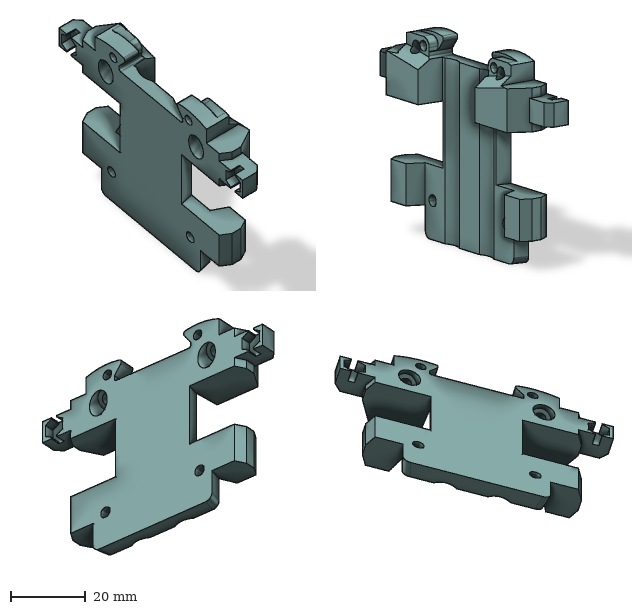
import cadquery as cq
import math

HALF_WIDTH = 38.0
DEPTH = 11.9
HEIGHT = 57.5
PLATE_DEPTH = 4.25

LOWER_ARM_BOTTOM = 9.0
LOWER_ARM_TOP = 20.6
UPPER_ARM_BOTTOM = 39.0
UPPER_ARM_TOP = 51.1

LEG_HALF = 20.5
NECK_HALF = 12.8
SIDE_LEAN = 1.0
LEG_CORNER_RADIUS = 2.05
LEG_HOLE_X = 16.3
LEG_HOLE_Z = 10.8
LEG_HOLE_DIAMETER = 3.2

GROOVE_X = 7.5
GROOVE_HALF_WIDTH = 3.2
GROOVE_SAG = 0.9

ARM_HALF = 30.0
FLANK_FRONT = 3.05
FLANK_BACK = 6.15
BEVEL_SLOPE = math.tan(math.radians(60))
LOWER_ARM_DEPTH = 9.05
LOWER_ARM_INNER_BACK = 21.8
UPPER_ARM_INNER_BACK = 12.55
UPPER_ARM_INNER_PLATE = 11.9

EAR_OUTER = 23.0
EAR_DEPTH = 7.9
EAR_HOLE_X = 15.6
EAR_HOLE_Z = 54.0
EAR_HOLE_DIAMETER = 2.9
EAR_TOP_RADIUS = 21.3
HOOK_TIP_X = 10.8
HOOK_TIP_RADIUS = 0.7
HOOK_ROOT_X = 13.15
HOOK_ROOT_Z = 52.75
HOOK_UNDERSIDE_Z = 55.85
HOOK_ROOT_RADIUS = 0.7
HOOK_DEPTH = 4.9
EAR_BACK_RADIUS = 2.6

SLANT_POINT = (EAR_OUTER, 11.2, UPPER_ARM_TOP)
SLANT_NORMAL = (-0.28, 1.0, 1.5)

SCREW_X = 18.7
SCREW_Z = 46.35
SCREW_RISE = 39.0
SCREW_DIAMETER = 3.4
HEAD_DIAMETER = 6.1
HEAD_DEPTH = 5.2

LUG_BOTTOM = 41.65
LUG_TOP = 48.3
LUG_DEPTH = 6.8
LUG_CHAMFER = 1.9
LUG_INNER = 27.35
POCKET_X = 34.0
POCKET_FLATS = 5.9
POCKET_DEPTH = 3.1
SLOT_WIDTH = 1.8

CUT_LENGTH = 45.6


def prism_up(points, bottom, top):
    """Extrude an outline in X-Y between two heights."""
    return cq.Workplane("XY").workplane(offset=bottom).polyline(points).close().extrude(top - bottom)


def hole_along_y(x, z, diameter):
    return cq.Workplane("XZ").center(x, z).circle(diameter / 2).extrude(-CUT_LENGTH)


def leaning_plate(half_width, bottom, top):
    outline = [(0, 0), (half_width, 0), (half_width - SIDE_LEAN, PLATE_DEPTH), (0, PLATE_DEPTH)]
    return prism_up(outline, bottom, top)


def arm(bottom, top, depth, inner_plate, inner_back):
    outline = [
        (0, 0),
        (ARM_HALF - FLANK_FRONT / BEVEL_SLOPE, 0),
        (ARM_HALF, FLANK_FRONT),
        (ARM_HALF, FLANK_BACK),
        (ARM_HALF - (depth - FLANK_BACK) / BEVEL_SLOPE, depth),
        (inner_back, depth),
        (inner_plate, PLATE_DEPTH),
        (0, PLATE_DEPTH),
    ]
    return prism_up(outline, bottom, top)


def groove():
    bottom_y = PLATE_DEPTH - GROOVE_SAG
    return (
        cq.Workplane("XY")
        .moveTo(GROOVE_X - GROOVE_HALF_WIDTH, PLATE_DEPTH)
        .threePointArc((GROOVE_X, bottom_y), (GROOVE_X + GROOVE_HALF_WIDTH, PLATE_DEPTH))
        .close()
        .extrude(HEIGHT)
    )


def ear_top_z(x):
    """Height of the ear's arched top, whose crown is above the ear hole."""
    return HEIGHT - EAR_TOP_RADIUS + math.sqrt(EAR_TOP_RADIUS**2 - (x - EAR_HOLE_X) ** 2)


def ear_block(depth):
    """The ear's full outline, with its hook, extruded back from the front face."""
    block = (
        cq.Workplane("XZ")
        .moveTo(EAR_OUTER, UPPER_ARM_TOP)
        .lineTo(EAR_OUTER, ear_top_z(EAR_OUTER))
        .threePointArc((EAR_HOLE_X, HEIGHT), (HOOK_TIP_X, ear_top_z(HOOK_TIP_X)))
        .lineTo(HOOK_TIP_X, HOOK_UNDERSIDE_Z)
        .lineTo(HOOK_ROOT_X, HOOK_ROOT_Z)
        .lineTo(HOOK_ROOT_X, UPPER_ARM_TOP + HOOK_ROOT_RADIUS)
        .radiusArc((HOOK_ROOT_X - HOOK_ROOT_RADIUS, UPPER_ARM_TOP), HOOK_ROOT_RADIUS)
        .close()
        .extrude(-depth)
    )
    return block.faces("<X").edges("|Y").fillet(HOOK_TIP_RADIUS)


def ear():
    """Ear whose part behind the hook is lower and rounded about the ear hole."""
    back_top = EAR_HOLE_Z + EAR_BACK_RADIUS
    back_inner = EAR_HOLE_X - EAR_BACK_RADIUS
    floor = UPPER_ARM_TOP + HOOK_ROOT_RADIUS
    above_back = (
        cq.Workplane("XZ", origin=(0, HOOK_DEPTH, 0))
        .moveTo(EAR_OUTER, back_top)
        .lineTo(EAR_HOLE_X, back_top)
        .radiusArc((back_inner, EAR_HOLE_Z), -EAR_BACK_RADIUS)
        .lineTo(back_inner, floor)
        .lineTo(0, floor)
        .lineTo(0, HEIGHT)
        .lineTo(EAR_OUTER, HEIGHT)
        .close()
        .extrude(HOOK_DEPTH - EAR_DEPTH)
    )
    return ear_block(EAR_DEPTH).cut(above_back)


def above_slant():
    """Everything on the outer side of the slanted face."""
    normal_x, _, normal_z = SLANT_NORMAL
    plane = cq.Plane(origin=SLANT_POINT, xDir=(normal_z, 0, -normal_x), normal=SLANT_NORMAL)
    return cq.Workplane(plane).rect(CUT_LENGTH, CUT_LENGTH).extrude(CUT_LENGTH)


def screw_hole():
    rise = math.radians(SCREW_RISE)
    axis = cq.Vector(0, math.cos(rise), math.sin(rise))
    entry = cq.Vector(SCREW_X, 0, SCREW_Z)
    start = entry - axis * HEAD_DIAMETER
    head = cq.Solid.makeCylinder(HEAD_DIAMETER / 2, HEAD_DIAMETER + HEAD_DEPTH, start, axis)
    shank = cq.Solid.makeCylinder(SCREW_DIAMETER / 2, CUT_LENGTH, entry, axis)
    return cq.Workplane(head).union(cq.Workplane(shank))


def lug():
    outline = [
        (LUG_INNER, 0),
        (HALF_WIDTH, 0),
        (HALF_WIDTH, LUG_DEPTH - LUG_CHAMFER),
        (HALF_WIDTH - LUG_CHAMFER, LUG_DEPTH),
        (LUG_INNER, LUG_DEPTH),
    ]
    pocket_z = (LUG_BOTTOM + LUG_TOP) / 2
    across_corners = POCKET_FLATS / math.cos(math.radians(30))
    pocket = (
        cq.Workplane("XZ")
        .polygon(6, across_corners)
        .extrude(-POCKET_DEPTH)
        .rotate((0, 0, 0), (0, 1, 0), 30)
        .translate((POCKET_X, 0, pocket_z))
    )
    slot = (
        cq.Workplane("XZ")
        .center(POCKET_X, pocket_z)
        .rect(SLOT_WIDTH, LUG_TOP - LUG_BOTTOM)
        .extrude(-POCKET_DEPTH)
    )
    return prism_up(outline, LUG_BOTTOM, LUG_TOP).cut(pocket).cut(slot)


leg = leaning_plate(LEG_HALF, 0, LOWER_ARM_TOP).faces(">X").edges("<Z").fillet(LEG_CORNER_RADIUS)
neck = leaning_plate(NECK_HALF, LOWER_ARM_TOP, UPPER_ARM_BOTTOM)
lower_arm = arm(
    LOWER_ARM_BOTTOM, LOWER_ARM_TOP, LOWER_ARM_DEPTH, LEG_HALF - SIDE_LEAN, LOWER_ARM_INNER_BACK
)
upper_arm = arm(UPPER_ARM_BOTTOM, UPPER_ARM_TOP, DEPTH, UPPER_ARM_INNER_PLATE, UPPER_ARM_INNER_BACK)
half = leg.union(neck).union(lower_arm).union(upper_arm)
half = half.cut(groove())

half = half.union(ear_block(DEPTH)).cut(above_slant())
half = half.union(ear())

half = half.cut(hole_along_y(EAR_HOLE_X, EAR_HOLE_Z, EAR_HOLE_DIAMETER))
half = half.cut(hole_along_y(LEG_HOLE_X, LEG_HOLE_Z, LEG_HOLE_DIAMETER))
half = half.cut(screw_hole())

half = half.union(lug())

result = half.union(half.mirror("YZ")).clean()